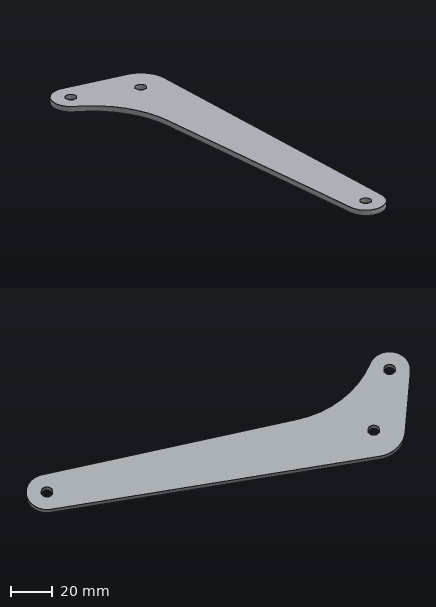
import cadquery as cq
import math

thickness = 3.0
hole_diameter = 5.5
elbow_radius = 15.0
end_radius = 10.0
long_arm_length = 160.0
long_arm_angle = 25.0
short_arm_length = 35.0
short_arm_angle = -90.0
inner_fillet_radius = 50.0


def polar(radius, angle, center=(0.0, 0.0)):
    """Point at a radius and an angle in degrees from a center."""
    a = math.radians(angle)
    return (center[0] + radius * math.cos(a), center[1] + radius * math.sin(a))


def tangent_offset(length):
    """Angle from an arm's axis to the normals of its tapered sides."""
    return math.degrees(math.acos((elbow_radius - end_radius) / length))


def line_crossing(p1, p2, q1, q2):
    """Point where the line p1-p2 meets the line q1-q2."""
    px, py = p2[0] - p1[0], p2[1] - p1[1]
    qx, qy = q2[0] - q1[0], q2[1] - q1[1]
    t = ((q1[0] - p1[0]) * qy - (q1[1] - p1[1]) * qx) / (px * qy - py * qx)
    return (p1[0] + t * px, p1[1] + t * py)


elbow = (0.0, 0.0)
long_end = polar(long_arm_length, long_arm_angle)
short_end = polar(short_arm_length, short_arm_angle)

long_offset = tangent_offset(long_arm_length)
short_offset = tangent_offset(short_arm_length)
long_outer_normal = long_arm_angle + long_offset
long_inner_normal = long_arm_angle - long_offset
short_inner_normal = short_arm_angle + short_offset
short_outer_normal = short_arm_angle - short_offset

elbow_mid_normal = (long_outer_normal + short_outer_normal + 360.0) / 2

inner_corner = line_crossing(
    polar(elbow_radius, long_inner_normal),
    polar(end_radius, long_inner_normal, long_end),
    polar(elbow_radius, short_inner_normal),
    polar(end_radius, short_inner_normal, short_end),
)


def make_plate():
    outline = (
        cq.Workplane("XY")
        .moveTo(*inner_corner)
        .lineTo(*polar(end_radius, long_inner_normal, long_end))
        .threePointArc(
            polar(end_radius, long_arm_angle, long_end),
            polar(end_radius, long_outer_normal, long_end),
        )
        .lineTo(*polar(elbow_radius, long_outer_normal))
        .threePointArc(
            polar(elbow_radius, elbow_mid_normal),
            polar(elbow_radius, short_outer_normal),
        )
        .lineTo(*polar(end_radius, short_outer_normal, short_end))
        .threePointArc(
            polar(end_radius, short_arm_angle, short_end),
            polar(end_radius, short_inner_normal, short_end),
        )
        .close()
    )
    plate = outline.extrude(thickness)
    corner_edge = cq.selectors.NearestToPointSelector((*inner_corner, thickness / 2))
    return plate.edges("|Z").edges(corner_edge).fillet(inner_fillet_radius)


def make_holes():
    return (
        cq.Workplane("XY")
        .pushPoints([elbow, long_end, short_end])
        .circle(hole_diameter / 2)
        .extrude(thickness)
    )


result = make_plate().cut(make_holes())